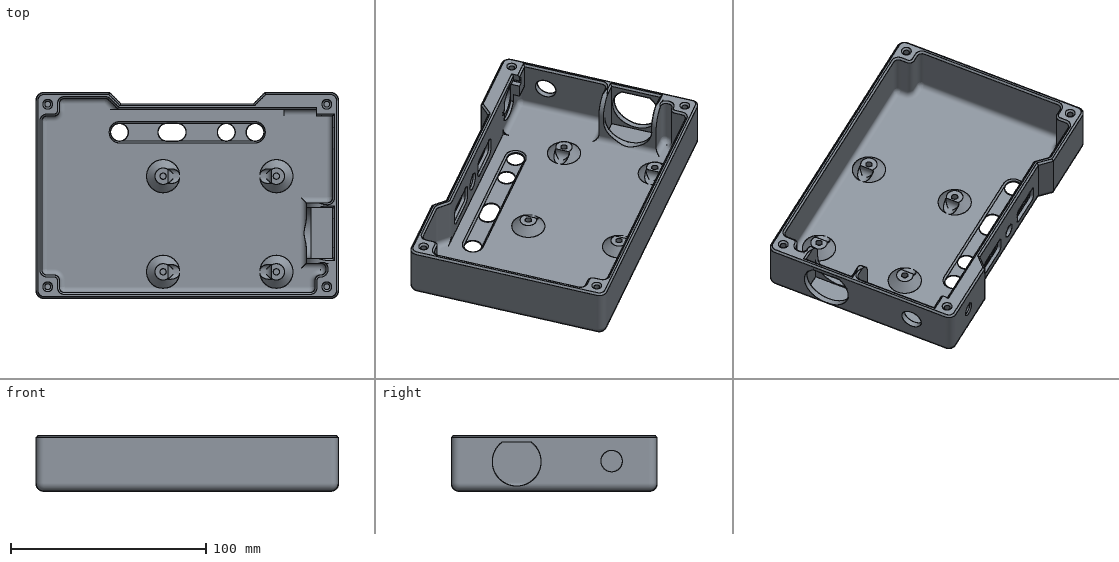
import cadquery as cq
import math

LENGTH = 155.0
WIDTH = 105.5
HEIGHT = 28.5
HALF_X = LENGTH / 2
HALF_Y = WIDTH / 2
OUTER_RADIUS = 4.0
WALL = 3.0
FLOOR = 1.5
INNER_RADIUS = 2.7
FLOOR_FILLET = 2.9
RIM_CHAMFER = 1.0
CHAMFER_ANGLE = 45.0
OVERSHOOT = 1.0
POSITION_TOLERANCE = 0.01

RECESS_DEPTH = 5.75
RECESS_HALF_TOP = 39.75
RECESS_HALF_BOTTOM = RECESS_HALF_TOP - RECESS_DEPTH
RECESS_Y = HALF_Y - RECESS_DEPTH

INNER_X = HALF_X - WALL
INNER_Y = HALF_Y - WALL
BACK_WALL_Y = RECESS_Y - WALL
BOSS_SIZE = 12.0
BOSS_X = HALF_X - BOSS_SIZE
BOSS_Y = HALF_Y - BOSS_SIZE
SQUARE_FOOT_LEFT = -40.0
SQUARE_FOOT_RIGHT = 49.5

SCREW_INSET = 6.0
SCREW_DIAMETER = 3.0
SCREW_SINK_DIAMETER = 5.0
SCREW_DEPTH = 12.0

POST_CENTER_X = 16.65
POST_CENTER_Y = -14.6
POST_SPACING_X = 58.0
POST_SPACING_Y = 49.0
POST_BASE_RADIUS = 8.5
POST_HEIGHT = 4.3
POST_TOP_RADIUS = POST_BASE_RADIUS - POST_HEIGHT
POST_HOLE_DIAMETER = 3.2
POST_NOTCH_OFFSET = 2.6
POST_NOTCH_WIDTH = 7.6
POST_NOTCH_RADIUS = 3.0

SLOT_Y = 32.4
SLOT_LENGTH = 80.0
SLOT_WIDTH = 11.0
SLOT_DEPTH = 1.0
SLOT_HOLE_DIAMETER = 9.0
SLOT_HOLE_XS = (-34.75, 20.0, 34.75)
OBLONG_X = -7.8
OBLONG_LENGTH = 14.3

PORT_Z = 11.8
PORT_CHAMFER = 1.0
PORT_HOLE_DIAMETER = 7.0
WINDOW_X = 19.0
WINDOW_LENGTH = 19.0
WINDOW_HEIGHT = 9.0
WINDOW_RADIUS = 2.0

JACK_X = 58.75
JACK_Z = 15.5
JACK_POCKET_DIAMETER = 19.0
JACK_POCKET_WIDTH = 14.9
JACK_POCKET_DEPTH = 1.5
JACK_BORE_DIAMETER = 14.0
JACK_BORE_DEPTH = 4.5
JACK_INNER_BORE_DIAMETER = 11.0
JACK_INNER_BORE_END_Y = HALF_Y - 1.0
JACK_HOLE_DIAMETER = 7.0
JACK_RIGHT_X = JACK_X + JACK_POCKET_WIDTH / 2
JACK_LEFT_X = JACK_X - JACK_POCKET_WIDTH / 2
JACK_RIGHT_NOTCH = 2.7
JACK_RIGHT_NOTCH_DEPTH = 4.0
JACK_RIGHT_NOTCH_BOTTOM = 21.2
JACK_RIGHT_NOTCH_TOP = 24.8
JACK_LEFT_NOTCH = 1.8
JACK_LEFT_NOTCH_HEIGHT = 2.0
BLOCK_BOTTOM = 14.25
SIDE_HOLE_Y = 29.4
SIDE_HOLE_DIAMETER = 11.0

BAY_Y = -19.25
BAY_HALF_WIDTH = 15.5
BAY_WALL = 2.5
BAY_LEFT_X = 61.0
BAY_FRONT_Y = BAY_Y - BAY_HALF_WIDTH
BAY_BACK_Y = BAY_Y + BAY_HALF_WIDTH
BAY_OPENING_RADIUS = BAY_HALF_WIDTH - BAY_WALL
BAY_OPENING_Z = 15.1
BAY_ROUND_RADIUS = 11.0
BAY_WINDOW_RADIUS = 12.5
BAY_WINDOW_Z = 15.2
BAY_WINDOW_TOP = 25.2
NOOK_END_X = 71.1


def box_between(x0, x1, y0, y1, z0, z1):
    """Axis-aligned box between two opposite corners."""
    return cq.Workplane("XY").box(x1 - x0, y1 - y0, z1 - z0, centered=False).translate((x0, y0, z0))


def cylinder_y(x, z, diameter, y0, y1):
    """Cylinder along Y between y0 and y1."""
    plane = cq.Workplane("XZ", origin=(x, y0, z))
    return plane.circle(diameter / 2).extrude(-(y1 - y0))


def cylinder_x(y, z, diameter, x0, x1):
    """Cylinder along X between x0 and x1."""
    return cq.Workplane("YZ", origin=(x0, y, z)).circle(diameter / 2).extrude(x1 - x0)


def outer_block():
    """Solid outer shape with the recess along its back."""
    outline = [
        (-HALF_X, -HALF_Y),
        (HALF_X, -HALF_Y),
        (HALF_X, HALF_Y),
        (RECESS_HALF_TOP, HALF_Y),
        (RECESS_HALF_BOTTOM, RECESS_Y),
        (-RECESS_HALF_BOTTOM, RECESS_Y),
        (-RECESS_HALF_TOP, HALF_Y),
        (-HALF_X, HALF_Y),
    ]
    block = cq.Workplane("XY").polyline(outline).close().extrude(HEIGHT)
    for x_side in ("<X", ">X"):
        block = block.faces(x_side).edges("|Z").fillet(OUTER_RADIUS)
    return block.faces("<Z").edges().fillet(OUTER_RADIUS)


def cavity():
    """Inside space of the tray, passing round the corner bosses and the compartment."""
    slant_shift = WALL * math.tan(math.radians(CHAMFER_ANGLE / 2))
    outline = [
        (-INNER_X, -BOSS_Y),
        (-BOSS_X, -BOSS_Y),
        (-BOSS_X, -INNER_Y),
        (BOSS_X, -INNER_Y),
        (BOSS_X, -BOSS_Y),
        (NOOK_END_X, -BOSS_Y),
        (NOOK_END_X, BAY_FRONT_Y),
        (BAY_LEFT_X, BAY_FRONT_Y),
        (BAY_LEFT_X, BAY_BACK_Y),
        (INNER_X, BAY_BACK_Y),
        (INNER_X, BACK_WALL_Y),
        (-RECESS_HALF_BOTTOM - slant_shift, BACK_WALL_Y),
        (-RECESS_HALF_TOP - slant_shift, INNER_Y),
        (-BOSS_X, INNER_Y),
        (-BOSS_X, BOSS_Y),
        (-INNER_X, BOSS_Y),
    ]
    space = cq.Workplane("XY", origin=(0, 0, FLOOR)).polyline(outline).close().extrude(HEIGHT)
    rounded_edges = space.edges("|Z").filter(
        lambda edge: abs(edge.Center().x - BAY_LEFT_X) > POSITION_TOLERANCE
    )
    space = rounded_edges.fillet(INNER_RADIUS)
    return space.faces("<Z").edges().fillet(FLOOR_FILLET)


def square_wall_foot():
    """Cut that leaves the foot of the recessed back wall without its floor fillet."""
    return box_between(
        SQUARE_FOOT_LEFT, SQUARE_FOOT_RIGHT,
        BACK_WALL_Y - FLOOR_FILLET - OVERSHOOT, BACK_WALL_Y,
        FLOOR, FLOOR + FLOOR_FILLET + OVERSHOOT,
    )


def corner_block():
    """Block that fills the upper part of the back right corner."""
    block = box_between(
        JACK_RIGHT_X, INNER_X + RIM_CHAMFER,
        BOSS_Y, BACK_WALL_Y + RIM_CHAMFER,
        BLOCK_BOTTOM, HEIGHT,
    )
    return block.faces("<Y").edges(">Z").chamfer(RIM_CHAMFER)


def screw_holes():
    """Countersunk blind holes in the four corners of the rim."""
    hole_x = HALF_X - SCREW_INSET
    hole_y = HALF_Y - SCREW_INSET
    sink_depth = (SCREW_SINK_DIAMETER - SCREW_DIAMETER) / 2
    plane = cq.Workplane("XY", origin=(0, 0, HEIGHT))
    centers = [(x, y) for x in (-hole_x, hole_x) for y in (-hole_y, hole_y)]
    bores = plane.pushPoints(centers).circle(SCREW_DIAMETER / 2).extrude(-SCREW_DEPTH)
    sinks = plane.pushPoints(centers).circle(SCREW_SINK_DIAMETER / 2)
    sinks = sinks.extrude(-sink_depth, taper=CHAMFER_ANGLE)
    return bores.union(sinks)


def post(center_x, center_y, notch_side):
    """Conical post with a blind hole and a round-bottomed notch on one side (-1 or +1 along X)."""
    cone = cq.Solid.makeCone(POST_BASE_RADIUS, POST_TOP_RADIUS, POST_HEIGHT)
    notch_end = POST_BASE_RADIUS + OVERSHOOT
    half_width = POST_NOTCH_WIDTH / 2
    notch = box_between(POST_NOTCH_OFFSET, notch_end, -half_width, half_width, 0, POST_HEIGHT + OVERSHOOT)
    notch = notch.edges("<Z and (not >X)").fillet(POST_NOTCH_RADIUS)
    if notch_side < 0:
        notch = notch.mirror("YZ")
    hole = cq.Workplane("XY").circle(POST_HOLE_DIAMETER / 2).extrude(POST_HEIGHT)
    return cq.Workplane(cone).cut(notch).cut(hole).translate((center_x, center_y, FLOOR))


def add_posts(body):
    """Join the four posts to the floor, with their notches facing each other."""
    for side in (-1, 1):
        for row in (-1, 1):
            center_x = POST_CENTER_X + side * POST_SPACING_X / 2
            center_y = POST_CENTER_Y + row * POST_SPACING_Y / 2
            body = body.union(post(center_x, center_y, -side))
    return body


def floor_slot():
    """Shallow slot with sloping sides and the openings through its floor."""
    slot = cq.Workplane("XY", origin=(0, SLOT_Y, FLOOR)).slot2D(SLOT_LENGTH, SLOT_WIDTH)
    slot = slot.extrude(-SLOT_DEPTH, taper=CHAMFER_ANGLE)
    below = cq.Workplane("XY", origin=(0, SLOT_Y, -OVERSHOOT))
    depth = FLOOR + OVERSHOOT - SLOT_DEPTH / 2
    holes = below.pushPoints([(x, 0) for x in SLOT_HOLE_XS]).circle(SLOT_HOLE_DIAMETER / 2).extrude(depth)
    oblong = below.center(OBLONG_X, 0).slot2D(OBLONG_LENGTH, SLOT_HOLE_DIAMETER).extrude(depth)
    return slot.union(holes).union(oblong)


def port_openings():
    """Round hole between two windows through the recessed wall, all chamfered on the inside."""
    inside = cq.Workplane("XZ", origin=(0, BACK_WALL_Y, PORT_Z))
    mouth_diameter = PORT_HOLE_DIAMETER + 2 * PORT_CHAMFER
    openings = inside.circle(PORT_HOLE_DIAMETER / 2).extrude(-WALL - OVERSHOOT)
    openings = openings.union(inside.circle(mouth_diameter / 2).extrude(-PORT_CHAMFER, taper=CHAMFER_ANGLE))
    window = cq.Sketch().rect(WINDOW_LENGTH, WINDOW_HEIGHT).vertices().fillet(WINDOW_RADIUS)
    mouth = cq.Sketch().rect(WINDOW_LENGTH + 2 * PORT_CHAMFER, WINDOW_HEIGHT + 2 * PORT_CHAMFER)
    mouth = mouth.vertices().fillet(WINDOW_RADIUS + PORT_CHAMFER)
    for side in (-1, 1):
        place = inside.center(side * WINDOW_X, 0)
        openings = openings.union(place.placeSketch(window).extrude(-WALL - OVERSHOOT))
        openings = openings.union(place.placeSketch(mouth).extrude(-PORT_CHAMFER, taper=CHAMFER_ANGLE))
    return openings


def jack_socket():
    """Flat-sided round pocket with two notches, and a stepped bore from it to the outside."""
    start_y = BOSS_Y - OVERSHOOT
    pocket_end = BACK_WALL_Y + JACK_POCKET_DEPTH
    notch_end = BACK_WALL_Y + JACK_RIGHT_NOTCH_DEPTH
    bore_end = BACK_WALL_Y + JACK_BORE_DEPTH
    half_notch = JACK_LEFT_NOTCH_HEIGHT / 2

    pocket = cylinder_y(JACK_X, JACK_Z, JACK_POCKET_DIAMETER, start_y, pocket_end)
    pocket = pocket.intersect(box_between(JACK_LEFT_X, JACK_RIGHT_X, start_y, pocket_end, 0, HEIGHT))
    right_notch = box_between(
        JACK_X, JACK_RIGHT_X + JACK_RIGHT_NOTCH,
        start_y, notch_end,
        JACK_RIGHT_NOTCH_BOTTOM, JACK_RIGHT_NOTCH_TOP,
    )
    left_notch = box_between(
        JACK_LEFT_X - JACK_LEFT_NOTCH, JACK_X,
        start_y, pocket_end,
        JACK_Z - half_notch, JACK_Z + half_notch,
    )
    socket = pocket.union(right_notch).union(left_notch)
    for diameter, end_y in (
        (JACK_BORE_DIAMETER, bore_end),
        (JACK_INNER_BORE_DIAMETER, JACK_INNER_BORE_END_Y),
        (JACK_HOLE_DIAMETER, HALF_Y + OVERSHOOT),
    ):
        socket = socket.union(cylinder_y(JACK_X, JACK_Z, diameter, BACK_WALL_Y, end_y))
    return socket


def side_hole():
    """Round hole through the right wall, level with the jack socket."""
    return cylinder_x(SIDE_HOLE_Y, JACK_Z, SIDE_HOLE_DIAMETER, BOSS_X, HALF_X + OVERSHOOT)


def bay_room():
    """Space inside the compartment, with a chamfered mouth at the rim."""
    length = INNER_X - BAY_LEFT_X - BAY_WALL
    width = 2 * (BAY_HALF_WIDTH - BAY_WALL)
    center_x = INNER_X - length / 2
    room = cq.Workplane("XY", origin=(center_x, BAY_Y, FLOOR)).rect(length, width).extrude(HEIGHT)
    mouth = cq.Workplane("XY", origin=(center_x, BAY_Y, HEIGHT))
    mouth = mouth.rect(length + 2 * RIM_CHAMFER, width + 2 * RIM_CHAMFER)
    mouth = mouth.extrude(-RIM_CHAMFER, taper=CHAMFER_ANGLE)
    return room.union(mouth)


def bay_opening():
    """Round-bottomed opening through the left wall of the compartment, open at the top."""
    start = BAY_LEFT_X - FLOOR_FILLET - OVERSHOOT
    end = BAY_LEFT_X + BAY_WALL
    round_bottom = cylinder_x(BAY_Y, BAY_OPENING_Z, 2 * BAY_OPENING_RADIUS, start, end)
    open_top = box_between(
        start, end,
        BAY_Y - BAY_OPENING_RADIUS, BAY_Y + BAY_OPENING_RADIUS,
        BAY_OPENING_Z, HEIGHT + OVERSHOOT,
    )
    return round_bottom.union(open_top)


def bay_round_over():
    """Material removed to round the top left corner of the compartment walls."""
    center_x = BAY_LEFT_X + BAY_ROUND_RADIUS
    center_z = HEIGHT - BAY_ROUND_RADIUS
    corner = box_between(
        BAY_LEFT_X - OVERSHOOT, center_x,
        BAY_FRONT_Y, BAY_BACK_Y,
        center_z, HEIGHT + OVERSHOOT,
    )
    return corner.cut(cylinder_y(center_x, center_z, 2 * BAY_ROUND_RADIUS, BAY_FRONT_Y, BAY_BACK_Y))


def bay_window():
    """Flat-topped round opening from the compartment through the right wall."""
    start = BAY_LEFT_X + BAY_WALL
    end = HALF_X + OVERSHOOT
    window = cylinder_x(BAY_Y, BAY_WINDOW_Z, 2 * BAY_WINDOW_RADIUS, start, end)
    return window.intersect(box_between(start, end, BAY_FRONT_Y, BAY_BACK_Y, 0, BAY_WINDOW_TOP))


result = outer_block().cut(cavity())
result = result.faces(">Z").edges().chamfer(RIM_CHAMFER)
result = result.cut(square_wall_foot()).union(corner_block())
for removed in (
    screw_holes(), floor_slot(), port_openings(), jack_socket(), side_hole(),
    bay_room(), bay_opening(), bay_round_over(), bay_window(),
):
    result = result.cut(removed)
result = add_posts(result)